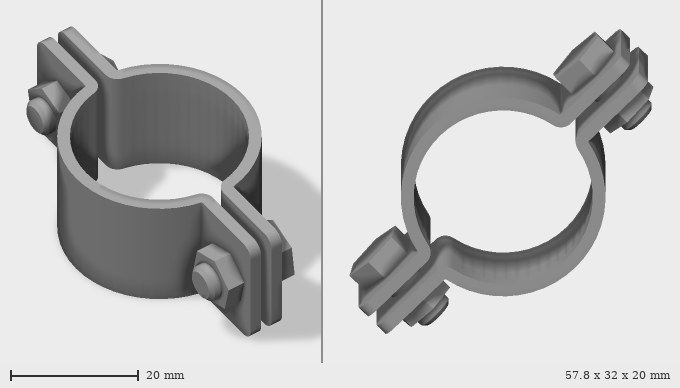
import cadquery as cq
import math

band_width = 20.0
strip_thickness = 2.0
ring_outer_radius = 16.0
ring_inner_radius = ring_outer_radius - strip_thickness
flange_gap = 2.0
flange_length = 13.0
flange_corner_radius = 2.0
bend_inner_radius = 0.2
bend_outer_radius = bend_inner_radius + strip_thickness

shank_radius = 3.0
shank_chamfer = 0.65
head_thickness = 3.5
head_circumradius = 5.4
head_angle = 21.5
nut_thickness = 3.0
nut_circumradius = 5.025
nut_angle = 41.5
shank_protrusion = 2.0
hexagon_sides = 6

flange_inner_y = flange_gap / 2
flange_outer_y = flange_inner_y + strip_thickness
bend_centre_y = flange_outer_y + bend_inner_radius
bend_centre_distance = ring_outer_radius + bend_inner_radius
bend_centre_x = math.sqrt(bend_centre_distance**2 - bend_centre_y**2)
flange_end_x = bend_centre_x + flange_length
bolt_x = bend_centre_x + flange_length / 2
nut_end_y = -flange_outer_y - nut_thickness
shank_end_y = nut_end_y - shank_protrusion

bend_ring_angle = math.atan2(-bend_centre_y, -bend_centre_x)
bend_flange_angle = -math.pi / 2
bend_middle_angle = (bend_ring_angle + bend_flange_angle) / 2


def bend_point(radius, angle):
    """Point on the right-hand bend at the given radius and direction."""
    x = bend_centre_x + radius * math.cos(angle)
    y = bend_centre_y + radius * math.sin(angle)
    return (x, y)


def mirror_x(point):
    return (-point[0], point[1])


def make_half_band():
    """Strip on the +Y side: half ring, two bends and two flat flanges."""
    inner_ring_end = bend_point(bend_outer_radius, bend_ring_angle)
    inner_bend_middle = bend_point(bend_outer_radius, bend_middle_angle)
    inner_flange_start = (bend_centre_x, flange_inner_y)
    outer_ring_end = bend_point(bend_inner_radius, bend_ring_angle)
    outer_bend_middle = bend_point(bend_inner_radius, bend_middle_angle)
    outer_flange_start = (bend_centre_x, flange_outer_y)

    profile = (
        cq.Workplane("XY")
        .workplane(offset=-band_width / 2)
        .moveTo(*mirror_x(inner_ring_end))
        .threePointArc((0, ring_inner_radius), inner_ring_end)
        .threePointArc(inner_bend_middle, inner_flange_start)
        .lineTo(flange_end_x, flange_inner_y)
        .lineTo(flange_end_x, flange_outer_y)
        .lineTo(*outer_flange_start)
        .threePointArc(outer_bend_middle, outer_ring_end)
        .threePointArc((0, ring_outer_radius), mirror_x(outer_ring_end))
        .threePointArc(mirror_x(outer_bend_middle), mirror_x(outer_flange_start))
        .lineTo(-flange_end_x, flange_outer_y)
        .lineTo(-flange_end_x, flange_inner_y)
        .lineTo(*mirror_x(inner_flange_start))
        .threePointArc(mirror_x(inner_bend_middle), mirror_x(inner_ring_end))
        .close()
    )
    strip = profile.extrude(band_width)
    return strip.edges("|Y and (<X or >X)").fillet(flange_corner_radius)


def make_hexagon(circumradius, angle, start_y, thickness):
    """Hexagonal prism on the right-hand bolt axis, growing toward -Y.

    The angle sets its turn about the bolt axis, from -X toward +Z.
    """
    corners = []
    for side in range(hexagon_sides):
        turn = math.radians(angle) + side * 2 * math.pi / hexagon_sides
        x = bolt_x - circumradius * math.cos(turn)
        z = circumradius * math.sin(turn)
        corners.append((x, z))
    plane = cq.Workplane("XZ", origin=(0, start_y, 0))
    return plane.polyline(corners).close().extrude(thickness)


def make_fastener():
    """Right-hand bolt and nut, with the head on the +Y side."""
    head_top_y = flange_outer_y + head_thickness
    head = make_hexagon(head_circumradius, head_angle, head_top_y, head_thickness)
    nut = make_hexagon(nut_circumradius, nut_angle, -flange_outer_y, nut_thickness)
    shank = (
        cq.Workplane("XZ", origin=(bolt_x, flange_outer_y, 0))
        .circle(shank_radius)
        .extrude(flange_outer_y - shank_end_y)
        .faces("<Y")
        .chamfer(shank_chamfer)
    )
    return shank.union(head).union(nut)


half_band = make_half_band()
fastener = make_fastener()

result = (
    half_band
    .union(fastener)
    .union(fastener.mirror("YZ"))
    .union(half_band.mirror("XZ"))
)